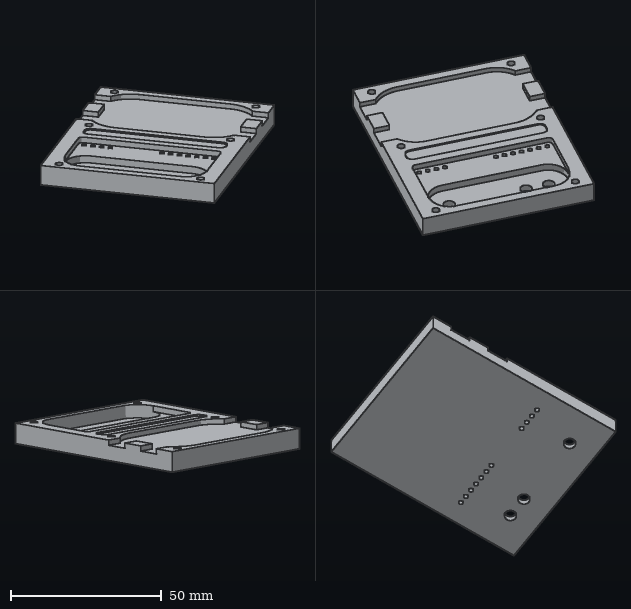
import cadquery as cq

width = 60.0
length = 73.5
thickness = 7.0

screw_diameter = 2.5
screw_depth = 5.0
screw_x = 24.4
screw_rows_y = (3.1, 39.5, 70.4)

recess_depth = 1.8
recess_center_y = 54.9
recess_length = 54.1
recess_width = 30.9
recess_radius = 11.5
channel_width = 22.4

tab_width = 7.35
tab_center_y = 55.05
tab_inner_x = 24.55

slot_length = 49.1
slot_width = 5.15
slot_center_y = 34.0
slot_depth = 0.5
slot_radius = 2.0

upper_back_y = 28.45
upper_radius = 1.5
upper_length = 49.1
upper_depth = 2.0
lower_depth = 4.5
lower_length = 48.8
lower_width = 14.5
lower_radius = 7.0
lower_center_y = 10.4

pin_diameter = 1.5
pin_y = 26.5
pin_outer_x = 22.4
left_pin_count = 4
right_pin_count = 7
right_pin_span = 18.0
pin_pitch = right_pin_span / (right_pin_count - 1)
cable_diameter = 4.0
cable_y = 10.0
cable_x = (-17.4, 9.5, 17.4)


def top_block(size_x, size_y, center_y, depth):
    """Block of the given depth whose upper face lies in the plate's top face."""
    return (
        cq.Workplane("XY", origin=(0, center_y, thickness - depth))
        .rect(size_x, size_y)
        .extrude(depth)
    )


def rounded_pocket(size_x, size_y, center_y, depth, radius):
    return top_block(size_x, size_y, center_y, depth).edges("|Z").fillet(radius)


def holes(points, diameter, depth):
    """Drills that enter from the plate's top face."""
    return (
        cq.Workplane("XY", origin=(0, 0, thickness - depth))
        .pushPoints(points)
        .circle(diameter / 2)
        .extrude(depth)
    )


def channel_recess():
    recess = rounded_pocket(recess_length, recess_width, recess_center_y, recess_depth, recess_radius)
    recess = recess.intersect(top_block(2 * tab_inner_x, recess_width, recess_center_y, recess_depth))
    channel = top_block(width, channel_width, recess_center_y, recess_depth)
    tab_band = top_block(width, tab_width, tab_center_y, recess_depth)
    return channel.cut(tab_band).union(recess)


def connector_pocket():
    upper_width = upper_back_y - lower_center_y
    upper_center_y = (upper_back_y + lower_center_y) / 2
    upper = top_block(upper_length, upper_width, upper_center_y, upper_depth)
    upper = upper.edges("|Z and >Y").fillet(upper_radius)
    lower = rounded_pocket(lower_length, lower_width, lower_center_y, lower_depth, lower_radius)
    return upper.union(lower)


screw_points = [(x, y) for x in (-screw_x, screw_x) for y in screw_rows_y]
left_pins = [(-pin_outer_x + i * pin_pitch, pin_y) for i in range(left_pin_count)]
right_pins = [(pin_outer_x - i * pin_pitch, pin_y) for i in range(right_pin_count)]
cable_points = [(x, cable_y) for x in cable_x]

plate = top_block(width, length, length / 2, thickness)
plate = plate.cut(channel_recess())
plate = plate.cut(rounded_pocket(slot_length, slot_width, slot_center_y, slot_depth, slot_radius))
plate = plate.cut(connector_pocket())
plate = plate.cut(holes(screw_points, screw_diameter, screw_depth))
plate = plate.cut(holes(left_pins + right_pins, pin_diameter, thickness))
result = plate.cut(holes(cable_points, cable_diameter, thickness))